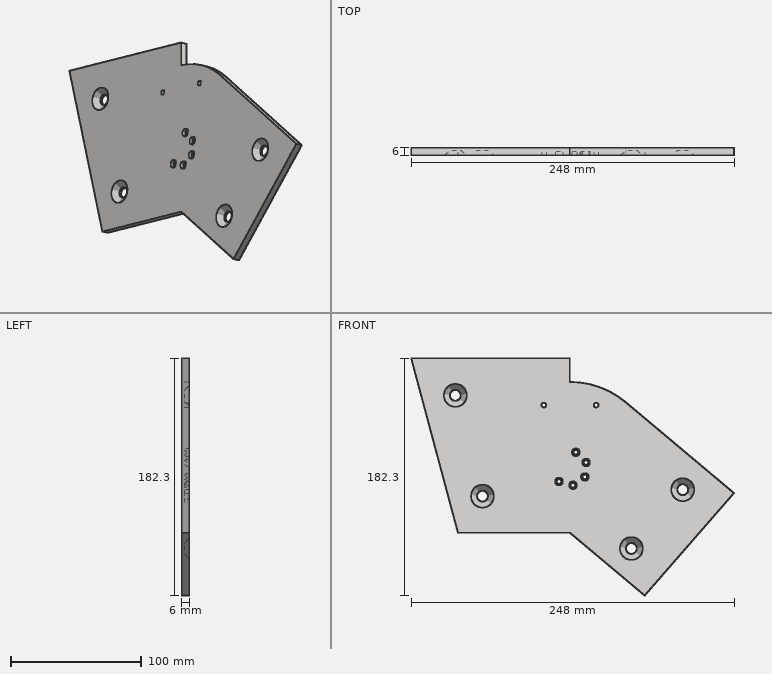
import cadquery as cq
import math

LENGTH = 248.0
HEIGHT = 182.3
THICKNESS = 6.0

PIVOT_X = 122.0
PIVOT_Z = 97.7
BEND_RADIUS = 66.5
BEND_ANGLE = math.radians(40)
LOWER_EDGE_Z = 48.0
LOWER_LEFT_X = 36.0
LOWER_TIP_X = PIVOT_X + LOWER_EDGE_Z / math.tan(BEND_ANGLE)

MOUNT_POINTS = [(34.0, 153.8), (54.8, 76.5), (169.1, 36.2), (208.5, 81.3)]
MOUNT_DIAMETER = 8.2
COUNTERSINK_DIAMETER = 17.5
COUNTERSINK_ANGLE = 100

SMALL_DIAMETER = 3.5
COUNTERBORE_DIAMETER = 6.0
COUNTERBORE_DEPTH = 3.0
ARC_HOLE_COUNT = 5
ARC_HOLE_RADIUS = 13.1
ARC_HOLE_START = 70
ARC_HOLE_STEP = -50

PIN_OFFSET_X = 20.0
PIN_Z = 146.3


def bend_point(angle):
    """Point on the rounded upper edge, with the angle measured clockwise from vertical."""
    return (PIVOT_X + BEND_RADIUS * math.sin(angle), PIVOT_Z + BEND_RADIUS * math.cos(angle))


def make_plate():
    arc_end_x, arc_end_z = bend_point(BEND_ANGLE)
    right_tip_z = arc_end_z - (LENGTH - arc_end_x) * math.tan(BEND_ANGLE)
    return (
        cq.Workplane("XZ")
        .moveTo(0, HEIGHT)
        .lineTo(PIVOT_X, HEIGHT)
        .lineTo(*bend_point(0))
        .threePointArc(bend_point(BEND_ANGLE / 2), (arc_end_x, arc_end_z))
        .lineTo(LENGTH, right_tip_z)
        .lineTo(LOWER_TIP_X, 0)
        .lineTo(PIVOT_X, LOWER_EDGE_Z)
        .lineTo(LOWER_LEFT_X, LOWER_EDGE_Z)
        .close()
        .extrude(-THICKNESS)
    )


def arc_hole_points():
    angles = [math.radians(ARC_HOLE_START + i * ARC_HOLE_STEP) for i in range(ARC_HOLE_COUNT)]
    return [
        (PIVOT_X + ARC_HOLE_RADIUS * math.cos(a), PIVOT_Z + ARC_HOLE_RADIUS * math.sin(a))
        for a in angles
    ]


def on_front(body, points):
    """Place hole centres on the front face in X, Z coordinates."""
    return body.copyWorkplane(cq.Workplane("XZ")).pushPoints(points)


pin_points = [(PIVOT_X - PIN_OFFSET_X, PIN_Z), (PIVOT_X + PIN_OFFSET_X, PIN_Z)]

result = make_plate()
result = on_front(result, MOUNT_POINTS).cskHole(MOUNT_DIAMETER, COUNTERSINK_DIAMETER, COUNTERSINK_ANGLE)
result = on_front(result, arc_hole_points()).cboreHole(
    SMALL_DIAMETER, COUNTERBORE_DIAMETER, COUNTERBORE_DEPTH
)
result = on_front(result, pin_points).hole(SMALL_DIAMETER)